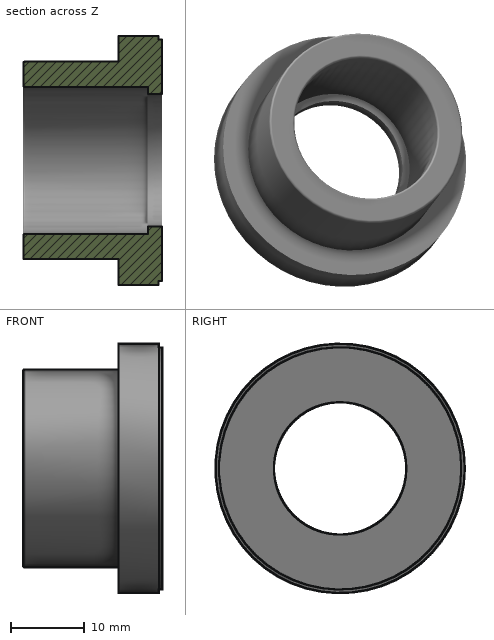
import cadquery as cq

total_length = 19.0
sleeve_diameter = 27.0
flange_diameter = 34.0
flange_thickness = 5.5
lip_diameter = 33.0
lip_height = 0.5
bore_diameter = 20.0
exit_diameter = 18.0
shoulder_thickness = 2.0
edge_break = 0.3

flange_end = total_length - lip_height
flange_start = flange_end - flange_thickness
bore_depth = total_length - shoulder_thickness


def cylinder(diameter, start, end):
    """Solid cylinder along the X axis between two X positions."""
    return cq.Workplane("YZ").workplane(offset=start).circle(diameter / 2).extrude(end - start)


def make_body():
    """Sleeve with a rounded free end, flange and raised lip."""
    sleeve = cylinder(sleeve_diameter, 0, flange_start).faces("<X").edges().fillet(edge_break)
    flange = cylinder(flange_diameter, flange_start, flange_end)
    lip = cylinder(lip_diameter, flange_end, total_length)
    return sleeve.union(flange).union(lip)


def make_bore():
    """Through bore that narrows at an internal shoulder near the flange end."""
    main_bore = cylinder(bore_diameter, 0, bore_depth)
    exit_bore = cylinder(exit_diameter, bore_depth, total_length)
    return main_bore.union(exit_bore)


def round_bore_mouth(body):
    """Round the edge where the bore meets the free end."""
    mouth = cq.selectors.RadiusNthSelector(0)
    return body.faces("<X").edges(mouth).fillet(edge_break)


result = round_bore_mouth(make_body().cut(make_bore()))